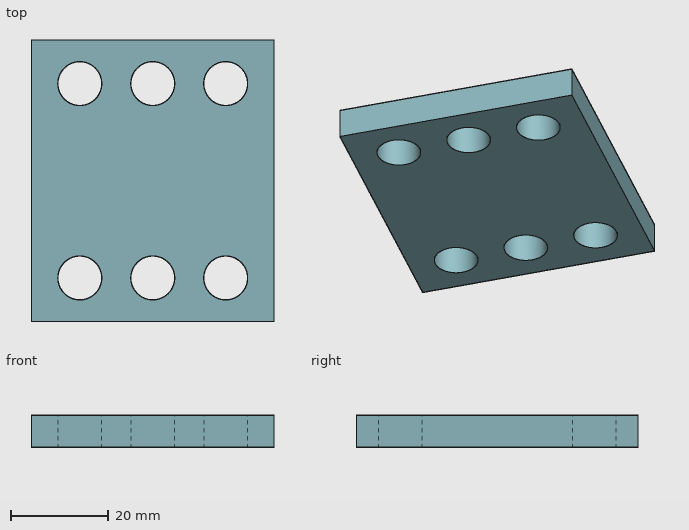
import cadquery as cq

width = 50.0
length = 58.0
thickness = 6.6

hole_diameter = 9.0
holes_per_row = 3
row_count = 2
hole_pitch = 15.0
row_spacing = 40.0

plate = cq.Workplane("XY").box(width, length, thickness)

result = (
    plate.faces(">Z")
    .workplane()
    .rarray(hole_pitch, row_spacing, holes_per_row, row_count)
    .hole(hole_diameter)
)